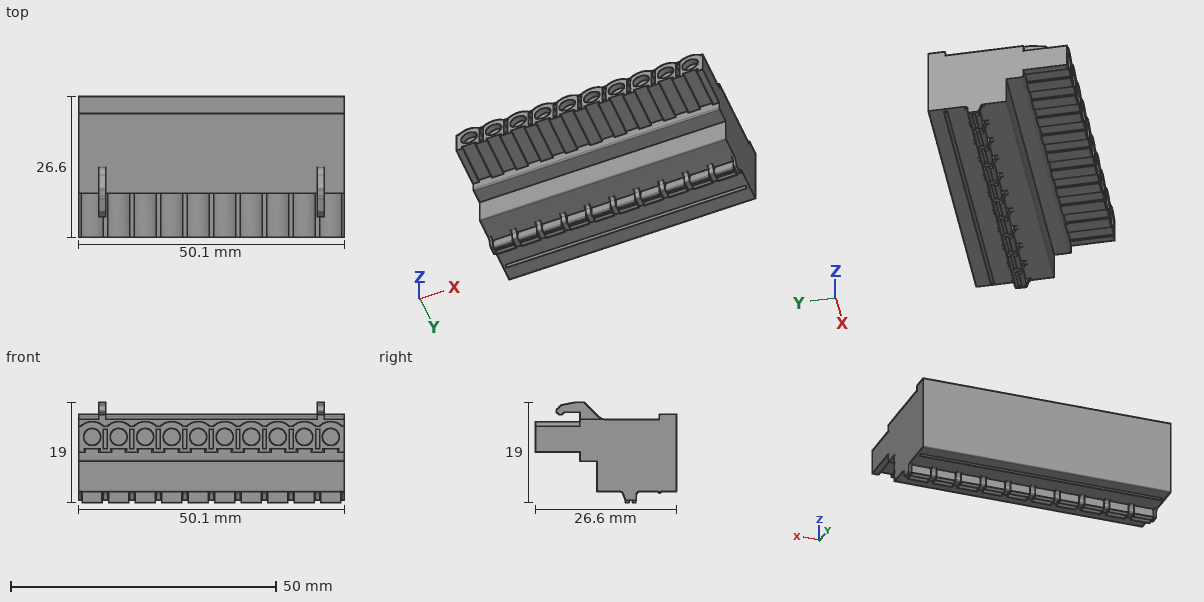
import cadquery as cq
import math


pole_count = 10
pitch = 5.0
length = 50.1
row_length = (pole_count - 1) * pitch
row_start = -row_length / 2
pole_centres = [row_start + i * pitch for i in range(pole_count)]
mid_centres = [x + pitch / 2 for x in pole_centres[:-1]]

depth = 26.6
body_front = 8.36
body_top = 13.65
step_front = 11.6
step_height = 5.7
step_radius = 0.3
lip_width = 3.3
lip_top = 14.65
lip_radius = 0.36
bottom_radius = 0.15

terminal_bottom = 7.48
terminal_top = 12.37
crown_top = 13.22
crown_width = 4.2
overlap = 1.0
hole_diameter = 3.2
hole_height = 10.33
hole_depth = 1.2
slot_width = 0.75
slot_bottom = 8.08
slot_top = 11.76
slot_depth = 2.0
notch_top = 8.12
notch_ledge = 7.8
notch_mouth_width = 2.55
notch_inner_width = 3.0

hook_width = 1.35
hook_inset = 4.45
hook_top = 16.9
hook_underside = 14.97
hook_tip_front = 3.88
hook_tip_bottom = 14.5
hook_tip_radius = 0.1
hook_tip_slope_back = 5.5
hook_tip_heel = 4.95
hook_tip_toe = 4.5
hook_tip_front_bottom = 15.0
hook_tip_front_top = 15.35
hook_nose_front = 4.85
hook_nose_height = 16.35
hook_brow_front = 7.6
hook_root_back = 12.4
hook_root_radius = 2.0
hook_peak_radius = 0.4
hook_brow_radius = 2.6
hook_nose_radius = 0.6

key_width = 3.8
key_front = 16.95
key_back = 19.05
key_bottom = -2.1
key_recess = -1.65
key_tooth_radius = 0.22
front_tooth_width = 0.75
back_tooth_width = 0.65
back_tooth_inset = 0.1
wedge_width = 1.0
wedge_front = 16.35
wedge_root_radius = 0.6
wedge_edge_radius = 0.3

bead_centre = 23.4
bead_half_width = 0.35
bead_height = 0.37
bead_radius = 0.1
bead_length = row_length + key_width


def rounded_outline(corners):
    """Closed YZ wire through (y, z, radius) corners, each rounded by its radius."""
    path = cq.Workplane("YZ")
    started = False
    for i, (y, z, radius) in enumerate(corners):
        here = cq.Vector(y, z)
        before = cq.Vector(*corners[i - 1][:2])
        after = cq.Vector(*corners[(i + 1) % len(corners)][:2])
        to_before = (before - here).normalized()
        to_after = (after - here).normalized()
        half_angle = to_before.getAngle(to_after) / 2
        setback = radius / math.tan(half_angle)
        start = here + to_before * setback
        path = path.lineTo(start.x, start.y) if started else path.moveTo(start.x, start.y)
        started = True
        if radius > 0:
            bisector = (to_before + to_after).normalized()
            middle = here + bisector * (radius / math.sin(half_angle) - radius)
            end = here + to_after * setback
            path = path.threePointArc((middle.x, middle.y), (end.x, end.y))
    return path.close()


def bar(corners, x_centre, width):
    """YZ outline extruded along X about x_centre."""
    return rounded_outline(corners).extrude(width / 2, both=True).translate((x_centre, 0, 0))


def block(x_centre, width, y_min, y_max, z_min, z_max):
    """Axis-aligned box."""
    centre = (x_centre, (y_min + y_max) / 2, (z_min + z_max) / 2)
    return cq.Workplane("XY").box(width, y_max - y_min, z_max - z_min).translate(centre)


def make_body():
    lip_front = depth - lip_width
    return bar(
        [
            (depth, 0, bottom_radius),
            (depth, lip_top, 0),
            (lip_front, lip_top, lip_radius),
            (lip_front, body_top, 0),
            (body_front, body_top, 0),
            (body_front, step_height, step_radius),
            (step_front, step_height, 0),
            (step_front, 0, bottom_radius),
        ],
        0,
        length,
    )


def make_crown(x):
    """Arched roof of one pole."""
    half = crown_width / 2
    return (
        cq.Workplane("XZ")
        .moveTo(x - half, terminal_bottom + overlap)
        .lineTo(x - half, terminal_top)
        .threePointArc((x, crown_top), (x + half, terminal_top))
        .lineTo(x + half, terminal_bottom + overlap)
        .close()
        .extrude(-(body_front + overlap))
    )


def make_terminal_row():
    row = block(0, length, 0, body_front + overlap, terminal_bottom, terminal_top)
    for x in pole_centres:
        row = row.union(make_crown(x))
    return row


def cut_terminals(part):
    """Wire holes, underside notches and the slots between the poles."""
    for x in pole_centres:
        hole = cq.Workplane("XZ").center(x, hole_height).circle(hole_diameter / 2).extrude(-hole_depth)
        mouth = block(x, notch_mouth_width, 0, body_front, terminal_bottom, notch_top)
        inner = block(x, notch_inner_width, 0, body_front, notch_ledge, notch_top)
        part = part.cut(hole).cut(mouth.union(inner))
    for x in mid_centres:
        part = part.cut(block(x, slot_width, 0, slot_depth, slot_bottom, slot_top))
    return part


def make_hook(x):
    """Latching hook with a 45 degree back and a nose that points forward and down."""
    peak_back = hook_root_back - (hook_top - body_top)
    return bar(
        [
            (body_front, body_top - overlap, 0),
            (body_front, hook_underside, 0),
            (hook_tip_slope_back, hook_underside, 0),
            (hook_tip_heel, hook_tip_bottom, hook_tip_radius),
            (hook_tip_toe, hook_tip_bottom, hook_tip_radius),
            (hook_tip_front, hook_tip_front_bottom, hook_tip_radius),
            (hook_tip_front, hook_tip_front_top, hook_tip_radius),
            (hook_nose_front, hook_nose_height, hook_nose_radius),
            (hook_brow_front, hook_top, hook_brow_radius),
            (peak_back, hook_top, hook_peak_radius),
            (hook_root_back, body_top, hook_root_radius),
            (hook_root_back + overlap, body_top, 0),
            (hook_root_back + overlap, body_top - overlap, 0),
        ],
        x,
        hook_width,
    )


def make_key(x):
    """Upright coding key with two teeth along its lower edge."""
    back_tooth_back = key_back - back_tooth_inset
    return bar(
        [
            (key_front, overlap, 0),
            (key_front, key_bottom, key_tooth_radius),
            (key_front + front_tooth_width, key_bottom, key_tooth_radius),
            (key_front + front_tooth_width, key_recess, 0),
            (back_tooth_back - back_tooth_width, key_recess, 0),
            (back_tooth_back - back_tooth_width, key_bottom, key_tooth_radius),
            (back_tooth_back, key_bottom, key_tooth_radius),
            (back_tooth_back, key_recess, 0),
            (key_back, key_recess, 0),
            (key_back, overlap, 0),
        ],
        x,
        key_width,
    )


def make_wedge(x, width):
    """Sloping wedge that stands between two keys."""
    return bar(
        [
            (wedge_front - overlap, overlap, 0),
            (wedge_front - overlap, 0, 0),
            (wedge_front, 0, wedge_root_radius),
            (key_front, key_recess, wedge_edge_radius),
            (key_back, key_recess, wedge_edge_radius),
            (key_back, 0, wedge_root_radius),
            (key_back + overlap, 0, 0),
            (key_back + overlap, overlap, 0),
        ],
        x,
        width,
    )


def make_bead():
    return bar(
        [
            (bead_centre - bead_half_width, 0, 0),
            (bead_centre, -bead_height, bead_radius),
            (bead_centre + bead_half_width, 0, 0),
            (bead_centre, overlap, 0),
        ],
        0,
        bead_length,
    )


def build():
    part = make_body().union(make_terminal_row())
    part = cut_terminals(part)
    for side in (-1, 1):
        part = part.union(make_hook(side * (length / 2 - hook_inset)))
        end_width = length / 2 - pole_count * pitch / 2 + wedge_width / 2
        part = part.union(make_wedge(side * (length - end_width) / 2, end_width))
    for x in pole_centres:
        part = part.union(make_key(x))
    for x in mid_centres:
        part = part.union(make_wedge(x, wedge_width))
    return part.union(make_bead())


result = build()